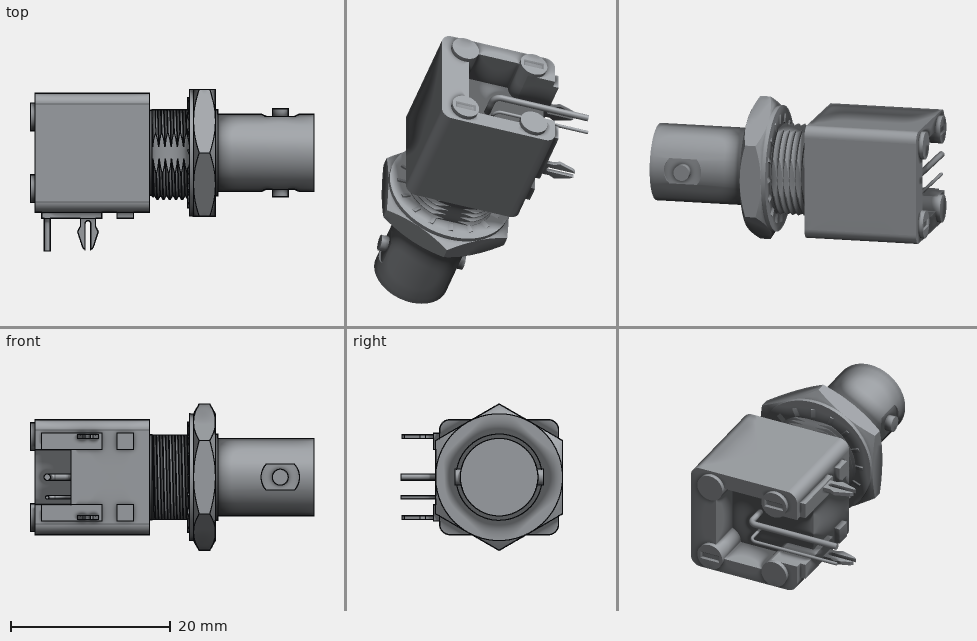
import cadquery as cq
import math


HOUSING_LENGTH = 14.37
HOUSING_DEPTH = 14.9
HOUSING_WIDTH = 14.42
HOUSING_EDGE_RADIUS = 1.33
HOUSING_FRONT_Y = -HOUSING_DEPTH / 2

CAVITY_LENGTH = 4.54
CAVITY_HALF_DEPTH = 3.92
CAVITY_HALF_WIDTH = 5.17
CAVITY_MOUTH_HALF_WIDTH = 3.43

POST_RADIUS = 1.75
POST_PROTRUSION = 0.56
POST_Y = 4.49
POST_Z = 5.07
POST_POCKET_SIZE = (2.66, 0.98)
POST_POCKET_FLOOR_SIZE = (2.2, 0.6)
POST_POCKET_DEPTH = 0.2
POST_FILLET = 0.15

FOOT_HEIGHT = 0.76
FOOT_WIDTH = 2.07
FOOT_Z = CAVITY_MOUTH_HALF_WIDTH + FOOT_WIDTH / 2
LONG_FOOT_START = 0.87
LONG_FOOT_LENGTH = 7.52
SQUARE_FOOT_START = 10.28
FOOT_Y = HOUSING_FRONT_Y - FOOT_HEIGHT

CLIP_X = 6.65
CLIP_Z = POST_Z
CLIP_THICKNESS = 0.5
CLIP_STEM_HALF_WIDTH = 0.96
CLIP_BARB_HALF_WIDTH = 1.3
CLIP_TIP_HALF_WIDTH = 0.65
CLIP_SLOT_WIDTH = 0.68
CLIP_SHOULDER_Y = -9.2
CLIP_BARB_Y = -9.88
CLIP_TAPER_END_Y = -11.85
CLIP_TIP_Y = -12.16
CLIP_SLOT_TOP_Y = -8.5

PIN_X = 1.56
PIN_END_Y = -12.28
PIN_BEND_RADIUS = 0.95
SIGNAL_PIN_DIAMETER = 0.8
SIGNAL_PIN_Z = 0.0
GROUND_PIN_DIAMETER = 0.42
GROUND_PIN_Z = -2.53

COLLAR_RADIUS = 5.33
THREAD_START = 14.65
THREAD_END = 20.8
THREAD_RADIUS = 5.87
THREAD_ROOT_RADIUS = 5.36
THREAD_PITCH = 0.775
THREAD_GROOVE_ROOT = 0.06
THREAD_GROOVE_MOUTH = 0.72
THREAD_GROOVE_OVERSHOOT = 0.03
THREAD_CREST_X = 15.33
THREAD_LEAD_CHAMFER = 0.5
THREAD_FLAT_Z = 5.3
THREAD_FLAT_Y = 5.4

NUT_ACROSS_CORNERS = 18.33
NUT_ACROSS_FLATS = NUT_ACROSS_CORNERS * math.cos(math.pi / 6)
NUT_START = 19.85
NUT_END = 22.59
NUT_CHAMFER_ANGLE = math.radians(30)

WASHER_START = 19.32
WASHER_RADIUS = NUT_ACROSS_FLATS / 2
WASHER_TEETH = 16
TOOTH_INNER_RADIUS = 5.8
TOOTH_OUTER_RADIUS = 6.9
TOOTH_WIDTH = 0.9
TOOTH_PROTRUSION = 0.2
TOOTH_TWIST = 20.0

SHOULDER_RADIUS = 5.4
SHOULDER_END = 22.9
BARREL_RADIUS = 4.85
BARREL_END = 35.5 - POST_PROTRUSION
LUG_X = 30.7
LUG_RADIUS = 1.0
LUG_TIP_Y = 5.52
LUG_FLAT_Y = 4.57
LUG_SPOT_RADIUS = 2.4


def box(x_start, x_end, y_start, y_end, z_start, z_end):
    """Box given by its extents along each axis."""
    size = (x_end - x_start, y_end - y_start, z_end - z_start)
    return cq.Workplane("XY").box(*size, centered=False).translate((x_start, y_start, z_start))


def axial_cylinder(radius, x_start, x_end, y=0.0, z=0.0):
    """Cylinder whose axis is parallel to X."""
    return cq.Workplane("YZ", origin=(x_start, y, z)).circle(radius).extrude(x_end - x_start)


def housing():
    """Rounded block with a cavity open to the rear and, through a narrower mouth, to -Y."""
    block = (
        cq.Workplane("YZ")
        .rect(HOUSING_DEPTH, HOUSING_WIDTH)
        .extrude(HOUSING_LENGTH)
        .edges("|X")
        .fillet(HOUSING_EDGE_RADIUS)
    )
    cavity = box(
        0, CAVITY_LENGTH,
        -CAVITY_HALF_DEPTH, CAVITY_HALF_DEPTH,
        -CAVITY_HALF_WIDTH, CAVITY_HALF_WIDTH,
    )
    return block.cut(cavity).cut(mouth())


def mouth():
    """Opening between the cavity and the board side."""
    return box(
        0, CAVITY_LENGTH,
        HOUSING_FRONT_Y, 0,
        -CAVITY_MOUTH_HALF_WIDTH, CAVITY_MOUTH_HALF_WIDTH,
    )


def corner_posts():
    """Four round posts, cut flush with the mouth; two on a diagonal have a tapered pocket."""
    posts = cq.Workplane("XY")
    for y_side in (-1, 1):
        for z_side in (-1, 1):
            y = y_side * POST_Y
            z = z_side * POST_Z
            post = axial_cylinder(POST_RADIUS, -POST_PROTRUSION, CAVITY_LENGTH, y, z)
            if y_side != z_side:
                pocket = (
                    cq.Workplane("YZ", origin=(-POST_PROTRUSION, y, z))
                    .rect(*POST_POCKET_SIZE)
                    .workplane(offset=POST_POCKET_DEPTH)
                    .rect(*POST_POCKET_FLOOR_SIZE)
                    .loft()
                )
                post = post.cut(pocket)
            posts = posts.union(post)
    return posts.cut(mouth())


def housing_with_posts():
    """Housing and posts, with a small fillet where each post runs into the cavity walls."""
    body = housing().union(corner_posts())
    wall_z = POST_Z - math.sqrt(POST_RADIUS ** 2 - (POST_Y - CAVITY_HALF_DEPTH) ** 2)
    wall_y = POST_Y - math.sqrt(POST_RADIUS ** 2 - (CAVITY_HALF_WIDTH - POST_Z) ** 2)
    for side in (-1, 1):
        corners = (
            (CAVITY_HALF_DEPTH, side * wall_z),
            (wall_y, side * CAVITY_HALF_WIDTH),
            (-wall_y, side * CAVITY_HALF_WIDTH),
        )
        for y, z in corners:
            edge = cq.selectors.NearestToPointSelector((CAVITY_LENGTH / 2, y, z))
            body = body.edges("|X").edges(edge).fillet(POST_FILLET)
    return body


def feet():
    """A long and a square stand-off foot on each side of the mouth."""
    pads = cq.Workplane("XY")
    for side in (-1, 1):
        z_low = side * FOOT_Z - FOOT_WIDTH / 2
        z_high = z_low + FOOT_WIDTH
        for start, length in ((LONG_FOOT_START, LONG_FOOT_LENGTH), (SQUARE_FOOT_START, FOOT_WIDTH)):
            pads = pads.union(box(start, start + length, FOOT_Y, HOUSING_FRONT_Y, z_low, z_high))
    return pads


def board_clip(z):
    """Flat split clip with barbed, tapering legs."""
    right_edge = [
        (CLIP_STEM_HALF_WIDTH, FOOT_Y),
        (CLIP_STEM_HALF_WIDTH, CLIP_SHOULDER_Y),
        (CLIP_BARB_HALF_WIDTH, CLIP_BARB_Y),
        (CLIP_TIP_HALF_WIDTH, CLIP_TAPER_END_Y),
        (CLIP_SLOT_WIDTH / 2, CLIP_TIP_Y),
    ]
    left_edge = [(-x, y) for x, y in reversed(right_edge)]
    blade = (
        cq.Workplane("XY", origin=(CLIP_X, 0, z - CLIP_THICKNESS / 2))
        .polyline(right_edge + left_edge)
        .close()
        .extrude(CLIP_THICKNESS)
    )
    slot_radius = CLIP_SLOT_WIDTH / 2
    slot = (
        cq.Workplane("XY", origin=(CLIP_X, 0, z - CLIP_THICKNESS / 2))
        .moveTo(-slot_radius, CLIP_TIP_Y)
        .lineTo(-slot_radius, CLIP_SLOT_TOP_Y - slot_radius)
        .threePointArc((0, CLIP_SLOT_TOP_Y), (slot_radius, CLIP_SLOT_TOP_Y - slot_radius))
        .lineTo(slot_radius, CLIP_TIP_Y)
        .close()
        .extrude(CLIP_THICKNESS)
    )
    return blade.cut(slot)


def solder_pin(diameter, z):
    """Round wire leaving the cavity wall along -X, then bent down to -Y."""
    bend_x = PIN_X + PIN_BEND_RADIUS
    diagonal = PIN_BEND_RADIUS * math.sqrt(0.5)
    path = (
        cq.Workplane("XY", origin=(0, 0, z))
        .moveTo(PIN_X, PIN_END_Y)
        .lineTo(PIN_X, -PIN_BEND_RADIUS)
        .threePointArc((bend_x - diagonal, -PIN_BEND_RADIUS + diagonal), (bend_x, 0))
        .lineTo(CAVITY_LENGTH + diameter, 0)
    )
    return cq.Workplane("XZ", origin=(PIN_X, PIN_END_Y, z)).circle(diameter / 2).sweep(path)


def thread_groove():
    """Right-handed groove of narrow trapezoid section around X, running out past both thread ends."""
    start_x = THREAD_CREST_X + 0.75 * THREAD_PITCH - 3 * THREAD_PITCH
    length = THREAD_END + 2 * THREAD_PITCH - start_x
    mouth_half_width = THREAD_GROOVE_MOUTH / 2
    root_half_width = THREAD_GROOVE_ROOT / 2
    mouth_radius = THREAD_RADIUS + THREAD_GROOVE_OVERSHOOT
    helix = cq.Wire.makeHelix(THREAD_PITCH, length, THREAD_ROOT_RADIUS)
    groove = (
        cq.Workplane("XZ")
        .polyline([
            (THREAD_ROOT_RADIUS, -root_half_width),
            (THREAD_ROOT_RADIUS, root_half_width),
            (mouth_radius, mouth_half_width),
            (mouth_radius, -mouth_half_width),
        ])
        .close()
        .sweep(cq.Workplane(obj=helix), isFrenet=True)
    )
    return groove.rotate((0, 0, 0), (0, 1, 0), 90).translate((start_x, 0, 0))


def threaded_bushing():
    """Thread with flats on +Z, -Z and +Y, joined to the housing by a plain collar."""
    flats = box(
        THREAD_START, THREAD_END,
        -2 * THREAD_RADIUS, THREAD_FLAT_Y,
        -THREAD_FLAT_Z, THREAD_FLAT_Z,
    )
    rod_overlength = 5 * THREAD_PITCH
    rod = axial_cylinder(THREAD_RADIUS, THREAD_START - rod_overlength, THREAD_END + rod_overlength)
    lead_end = THREAD_START + THREAD_LEAD_CHAMFER
    lead_cone = (
        cq.Workplane("XY")
        .polyline([
            (THREAD_START, 0),
            (THREAD_START, THREAD_RADIUS - THREAD_LEAD_CHAMFER),
            (lead_end + THREAD_RADIUS, 2 * THREAD_RADIUS),
            (lead_end + THREAD_RADIUS, 0),
        ])
        .close()
        .revolve(360, (0, 0, 0), (1, 0, 0))
    )
    thread = rod.cut(thread_groove()).intersect(flats).intersect(lead_cone)
    collar = axial_cylinder(COLLAR_RADIUS, HOUSING_LENGTH, THREAD_START)
    return thread.union(collar)


def lock_washer():
    """Flat washer with a ring of twisted teeth standing out of its rear face."""
    washer = axial_cylinder(WASHER_RADIUS, WASHER_START, NUT_START)
    tilt = math.radians(TOOTH_TWIST)
    thickness = NUT_START - WASHER_START
    reach = (TOOTH_WIDTH * math.sin(tilt) + thickness * math.cos(tilt)) / 2
    tooth_x = WASHER_START - TOOTH_PROTRUSION + reach
    middle_radius = (TOOTH_INNER_RADIUS + TOOTH_OUTER_RADIUS) / 2
    tooth = (
        cq.Workplane("XY")
        .box(thickness, TOOTH_OUTER_RADIUS - TOOTH_INNER_RADIUS, TOOTH_WIDTH)
        .rotate((0, 0, 0), (0, 1, 0), TOOTH_TWIST)
        .translate((tooth_x, middle_radius, 0))
    )
    for index in range(WASHER_TEETH):
        washer = washer.union(tooth.rotate((0, 0, 0), (1, 0, 0), index * 360 / WASHER_TEETH))
    return washer


def hex_nut():
    """Hexagon with corners on +Z and -Z, its corners chamfered on both faces."""
    hexagon = (
        cq.Workplane("YZ", origin=(NUT_START, 0, 0))
        .polygon(6, NUT_ACROSS_CORNERS)
        .extrude(NUT_END - NUT_START)
        .rotate((0, 0, 0), (1, 0, 0), 90)
    )
    corner_radius = NUT_ACROSS_CORNERS / 2
    face_radius = NUT_ACROSS_FLATS / 2
    chamfer_length = (corner_radius - face_radius) * math.tan(NUT_CHAMFER_ANGLE)
    turned_blank = (
        cq.Workplane("XY")
        .polyline([
            (NUT_START, 0),
            (NUT_START, face_radius),
            (NUT_START + chamfer_length, corner_radius),
            (NUT_END - chamfer_length, corner_radius),
            (NUT_END, face_radius),
            (NUT_END, 0),
        ])
        .close()
        .revolve(360, (0, 0, 0), (1, 0, 0))
    )
    return hexagon.intersect(turned_blank)


def barrel():
    """Plain shoulder and mating barrel with a bayonet lug in a round spot face on +Y and -Y."""
    body = axial_cylinder(SHOULDER_RADIUS, NUT_END, SHOULDER_END)
    body = body.union(axial_cylinder(BARREL_RADIUS, NUT_END, BARREL_END))
    spot_depth = BARREL_RADIUS - LUG_FLAT_Y
    for y_start in (LUG_FLAT_Y, -LUG_FLAT_Y - spot_depth):
        spot = cq.Workplane("XZ", origin=(LUG_X, y_start, 0)).circle(LUG_SPOT_RADIUS).extrude(-spot_depth)
        body = body.cut(spot)
    lugs = (
        cq.Workplane("XZ", origin=(LUG_X, -LUG_TIP_Y, 0))
        .circle(LUG_RADIUS)
        .extrude(-2 * LUG_TIP_Y)
    )
    return body.union(lugs)


result = (
    housing_with_posts()
    .union(corner_posts())
    .union(feet())
    .union(board_clip(CLIP_Z))
    .union(board_clip(-CLIP_Z))
    .union(solder_pin(SIGNAL_PIN_DIAMETER, SIGNAL_PIN_Z))
    .union(solder_pin(GROUND_PIN_DIAMETER, GROUND_PIN_Z))
    .union(threaded_bushing())
    .union(lock_washer())
    .union(hex_nut())
    .union(barrel())
)